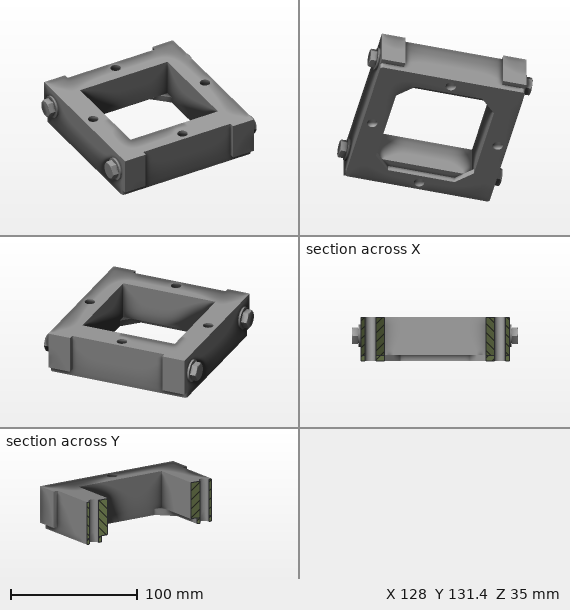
import cadquery as cq
import math

FRAME_LENGTH = 128.0
TOTAL_DEPTH = 131.4
TOTAL_HEIGHT = 35.0
GASKET_THICKNESS = 5.0
BAR_HEIGHT = TOTAL_HEIGHT - GASKET_THICKNESS

FLANGE_DIAMETER = 18.0
FLANGE_THICKNESS = 1.6
HEAD_ACROSS_FLATS = 13.0
BEARING_FACE_DIAMETER = 11.5
BEARING_FACE_THICKNESS = 0.4
HEAD_HEIGHT = 5.0
BOLT_HEIGHT = FLANGE_THICKNESS + BEARING_FACE_THICKNESS + HEAD_HEIGHT
HEAD_ACROSS_CORNERS = HEAD_ACROSS_FLATS / math.cos(math.pi / 6)
HEAD_FACE_DIAMETER = 12.7
HEAD_CHAMFER_ANGLE = 30.0
BOLT_SPACING = 100.0
BOLT_Z = GASKET_THICKNESS + BAR_HEIGHT / 2

FRAME_DEPTH = TOTAL_DEPTH - 2 * BOLT_HEIGHT
END_BAR_WIDTH = 18.9
SOCKET_DEPTH = 5.9

SIDE_BAR_WIDTH = 20.0
SIDE_BAR_INSET = 4.1
SIDE_BAR_SPAN = FRAME_LENGTH - 2 * SIDE_BAR_INSET
SIDE_BAR_X = (SIDE_BAR_SPAN - SIDE_BAR_WIDTH) / 2
OPENING_DEPTH = FRAME_DEPTH - 2 * END_BAR_WIDTH
SIDE_BAR_LENGTH = OPENING_DEPTH + 2 * SOCKET_DEPTH

GASKET_CORNER_RADIUS = 2.1
GASKET_SIDE_SETBACK = 5.9
GASKET_SIDE_WIDTH = SIDE_BAR_WIDTH - GASKET_SIDE_SETBACK
GASKET_OPENING_WIDTH = SIDE_BAR_SPAN - 2 * GASKET_SIDE_WIDTH
EXPOSED_GUSSET_LEG = 6.8
OPENING_CORNER_CHAMFER = EXPOSED_GUSSET_LEG + GASKET_SIDE_SETBACK

HOLE_DIAMETER = 8.3
END_HOLE_Y = 51.0
SIDE_HOLE_X = 53.0

SIDES = (-1, 1)


def block(length, depth, height, x, y, bottom):
    """Box centred on (x, y) and standing on the height `bottom`."""
    box = cq.Workplane("XY").box(length, depth, height, centered=(True, True, False))
    return box.translate((x, y, bottom))


def mounting_holes():
    """Cutter for the four vertical mounting holes."""
    centres = [(0, side * END_HOLE_Y) for side in SIDES]
    centres += [(side * SIDE_HOLE_X, 0) for side in SIDES]
    return cq.Workplane("XY").pushPoints(centres).circle(HOLE_DIAMETER / 2).extrude(TOTAL_HEIGHT)


def side_bar_block(side):
    """Undrilled side bar, which is also the shape of the sockets that hold it."""
    return block(SIDE_BAR_WIDTH, SIDE_BAR_LENGTH, BAR_HEIGHT, side * SIDE_BAR_X, 0, GASKET_THICKNESS)


def make_side_bar(side):
    return side_bar_block(side).cut(mounting_holes())


def make_end_bar(side):
    """Bar along X with a socket for the end of each side bar."""
    centre_y = side * (FRAME_DEPTH - END_BAR_WIDTH) / 2
    bar = block(FRAME_LENGTH, END_BAR_WIDTH, BAR_HEIGHT, 0, centre_y, GASKET_THICKNESS)
    for socket_side in SIDES:
        bar = bar.cut(side_bar_block(socket_side))
    return bar.cut(mounting_holes())


def make_gasket():
    """Flat ring under the bars, with rounded outer corners and chamfered opening corners."""
    ring = block(SIDE_BAR_SPAN, FRAME_DEPTH, GASKET_THICKNESS, 0, 0, 0)
    ring = ring.edges("|Z").fillet(GASKET_CORNER_RADIUS)
    opening = block(GASKET_OPENING_WIDTH, OPENING_DEPTH, GASKET_THICKNESS, 0, 0, 0)
    opening = opening.edges("|Z").chamfer(OPENING_CORNER_CHAMFER)
    return ring.cut(opening).cut(mounting_holes())


def make_bolt(x, side):
    """Bolt head on its flange, facing outwards from the end bar on the given side of Y."""
    flange = cq.Workplane("XY").circle(FLANGE_DIAMETER / 2).extrude(FLANGE_THICKNESS)
    bearing_face = cq.Workplane("XY").workplane(offset=FLANGE_THICKNESS)
    bearing_face = bearing_face.circle(BEARING_FACE_DIAMETER / 2).extrude(BEARING_FACE_THICKNESS)
    head = cq.Workplane("XY").workplane(offset=BOLT_HEIGHT - HEAD_HEIGHT)
    head = head.polygon(6, HEAD_ACROSS_CORNERS).extrude(HEAD_HEIGHT)

    face_radius = HEAD_FACE_DIAMETER / 2
    corner_radius = HEAD_ACROSS_CORNERS / 2
    chamfer_height = (corner_radius - face_radius) * math.tan(math.radians(HEAD_CHAMFER_ANGLE))
    envelope = (
        cq.Workplane("XZ")
        .lineTo(corner_radius, 0)
        .lineTo(corner_radius, BOLT_HEIGHT - chamfer_height)
        .lineTo(face_radius, BOLT_HEIGHT)
        .lineTo(0, BOLT_HEIGHT)
        .close()
        .revolve(360, (0, 0, 0), (0, 1, 0))
    )
    bolt = flange.union(bearing_face).union(head.intersect(envelope))

    bolt = bolt.rotate((0, 0, 0), (1, 0, 0), -90 * side)
    return bolt.translate((x, side * FRAME_DEPTH / 2, BOLT_Z))


gasket = make_gasket()
end_bars = [make_end_bar(side) for side in SIDES]
side_bars = [make_side_bar(side) for side in SIDES]
bolts = [make_bolt(x_side * BOLT_SPACING / 2, side) for x_side in SIDES for side in SIDES]

bodies = [gasket, *end_bars, *side_bars, *bolts]
result = cq.Compound.makeCompound([body.val() for body in bodies])